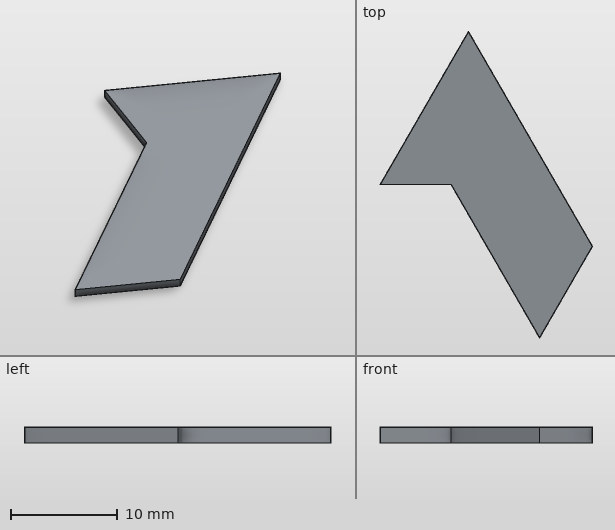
import cadquery as cq
import math

thickness = 1.5
slant_length = 16.61
notch_length = 6.68
edge_angle = math.radians(60)

leg_end_length = slant_length - notch_length


def step(start, length, angle):
    """Return the point at the given length and direction from start."""
    return (start[0] + length * math.cos(angle), start[1] + length * math.sin(angle))


left_tip = (0, 0)
inner_corner = step(left_tip, notch_length, 0)
leg_tip = step(inner_corner, slant_length, -edge_angle)
outer_corner = step(leg_tip, leg_end_length, edge_angle)
top_tip = step(left_tip, slant_length, edge_angle)

outline = [left_tip, inner_corner, leg_tip, outer_corner, top_tip]
result = cq.Workplane("XY").polyline(outline).close().extrude(thickness)